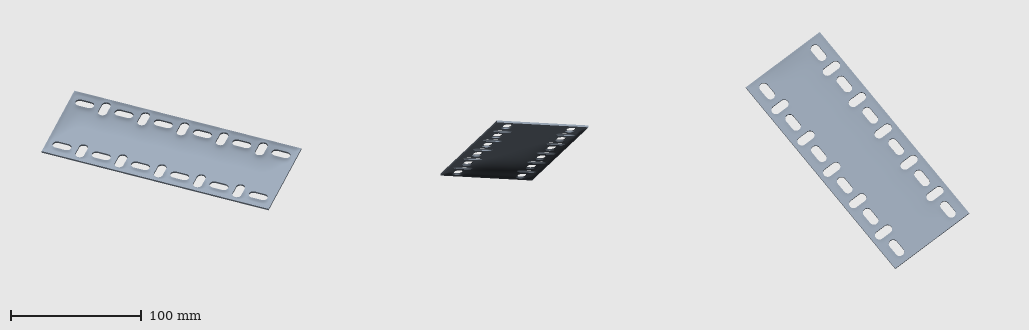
import cadquery as cq

length = 185.0
width = 72.0
thickness = 1.5

slot_length = 15.0
slot_width = 7.0
row_spacing = 50.0
pitch = 32.0
lengthwise_per_row = 6
crosswise_per_row = lengthwise_per_row - 1


def slot_cutter(count, angle):
    """Two rows of evenly pitched through slots, turned by angle from the X axis."""
    return (
        cq.Workplane("XY")
        .rarray(pitch, row_spacing, count, 2)
        .slot2D(slot_length, slot_width, angle)
        .extrude(thickness)
    )


plate = cq.Workplane("XY").box(length, width, thickness, centered=(True, True, False))
result = plate.cut(slot_cutter(lengthwise_per_row, 0)).cut(slot_cutter(crosswise_per_row, 90))